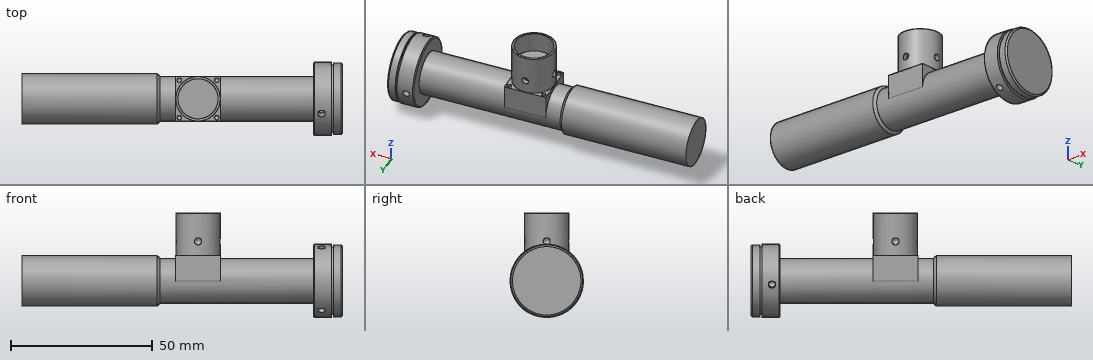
import cadquery as cq
import math

total_length = 113.8
head_diameter = 18.0
head_length = 49.0
tube_diameter = 16.0
head_chamfer = (head_diameter - tube_diameter) / 2

collar_start = 103.4
collar_diameter = 26.0
collar_chamfer = 0.4
groove_start = 109.8
groove_width = 0.8
groove_diameter = 24.0
cap_diameter = 25.5
cap_chamfer = 0.6

block_size = 16.0
block_top = 9.0
block_center_x = 62.5

socket_top = 24.0
socket_outer_diameter = 15.8
socket_inner_diameter = 14.2
socket_depth = 7.5

drill_tip_angle = 118.0
drill_overrun = 1.0

block_hole_diameter = 1.6
block_hole_spacing = 13.3
block_hole_depth = 2.0

socket_hole_diameter = 2.5
socket_hole_depth = 2.0
socket_hole_height = 14.0
socket_hole_count = 4

collar_hole_diameter = 2.5
collar_hole_x = 106.3
collar_hole_depth = 3.5
collar_hole_count = 3
collar_hole_first_angle = 24.0


def rod(diameter, start, end):
    """Cylinder along X from start to end."""
    return cq.Workplane("YZ").workplane(offset=start).circle(diameter / 2).extrude(end - start)


def make_barrel():
    head = rod(head_diameter, 0, head_length).faces(">X").chamfer(head_chamfer)
    return head.union(rod(tube_diameter, 0, total_length))


def make_flange():
    cap_start = groove_start + groove_width
    collar = rod(collar_diameter, collar_start, groove_start).faces("<X").chamfer(collar_chamfer)
    groove_floor = rod(groove_diameter, groove_start, cap_start)
    cap = rod(cap_diameter, cap_start, total_length).faces(">X").chamfer(cap_chamfer)
    return collar.union(groove_floor).union(cap)


def drilled_hole(diameter, depth, mouth, inward):
    """Drill shape to cut away, from its mouth on the surface to its conical tip."""
    radius = diameter / 2
    tip_length = radius / math.tan(math.radians(drill_tip_angle / 2))
    start = mouth - inward * drill_overrun
    shank = cq.Solid.makeCylinder(radius, depth + drill_overrun, start, inward)
    tip = cq.Solid.makeCone(radius, 0, tip_length, mouth + inward * depth, inward)
    return cq.Workplane(shank).union(cq.Workplane(tip))


def make_block():
    block = cq.Workplane("XY").center(block_center_x, 0).rect(block_size, block_size).extrude(block_top)
    offset = block_hole_spacing / 2
    for x in (block_center_x - offset, block_center_x + offset):
        for y in (-offset, offset):
            mouth = cq.Vector(x, y, block_top)
            hole = drilled_hole(block_hole_diameter, block_hole_depth, mouth, cq.Vector(0, 0, -1))
            block = block.cut(hole)
    return block


def make_socket():
    socket = (
        cq.Workplane("XY").workplane(offset=block_top).center(block_center_x, 0)
        .circle(socket_outer_diameter / 2)
        .extrude(socket_top - block_top)
        .faces(">Z").workplane()
        .hole(socket_inner_diameter, socket_depth)
    )
    outer_radius = socket_outer_diameter / 2
    for index in range(socket_hole_count):
        angle = math.radians(index * 360 / socket_hole_count)
        inward = cq.Vector(-math.cos(angle), -math.sin(angle), 0)
        mouth = cq.Vector(block_center_x, 0, socket_hole_height) - inward * outer_radius
        socket = socket.cut(drilled_hole(socket_hole_diameter, socket_hole_depth, mouth, inward))
    return socket


def drill_collar(flange):
    for index in range(collar_hole_count):
        angle = math.radians(collar_hole_first_angle + index * 360 / collar_hole_count)
        inward = cq.Vector(0, math.sin(angle), -math.cos(angle))
        mouth = cq.Vector(collar_hole_x, 0, 0) - inward * (collar_diameter / 2)
        flange = flange.cut(drilled_hole(collar_hole_diameter, collar_hole_depth, mouth, inward))
    return flange


barrel = make_barrel().union(drill_collar(make_flange()))
result = barrel.union(make_block()).union(make_socket())